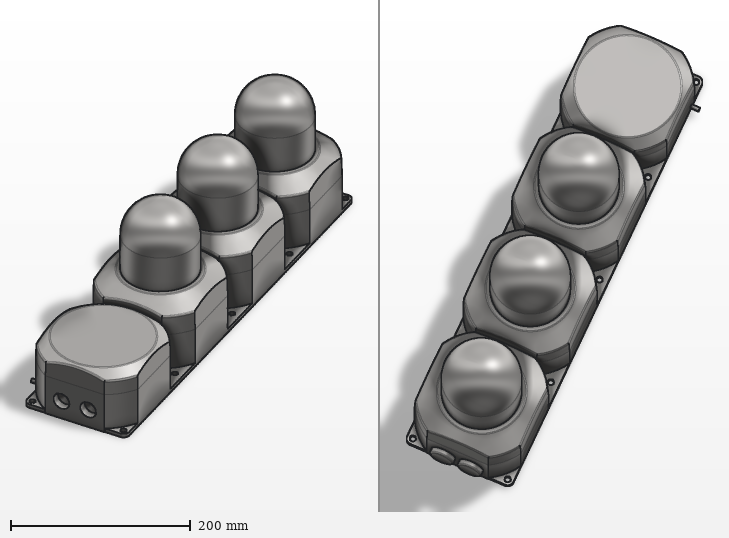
import math

import cadquery as cq

module_pitch = 131.7
lamp_count = 3
body_width = 130.0
body_corner_radius = 75.0
row_length = module_pitch * lamp_count + body_width
horn_y = -module_pitch * lamp_count / 2
front_face_y = -row_length / 2
back_face_y = row_length / 2

plate_thickness = 5.0
plate_setback = 0.5
plate_length = row_length - 2 * plate_setback
plate_corner_radius = 7.0
fixing_hole_diameter = 7.0
corner_hole_inset = plate_corner_radius
side_hole_inset = 10.0

body_height = 51.5
cover_draft = 2.0
cover_edge_fillet = 3.0
cover_rim_fillet = 3.0
lamp_cover_height = 89.0
lamp_cover_flat_radius = 50.0
lamp_cover_corner_height = 74.7
horn_cover_height = 78.5
horn_cover_flat_radius = 60.0
horn_cover_corner_height = 69.0

dome_radius = 45.0
dome_top = 180.0

entry_spacing = 34.0
entry_z = 23.5
entry_hole_diameter = 20.0
entry_hole_depth = 10.0
drill_point_angle = 118.0
overall_length = 531.8
gland_diameter = 29.0
gland_length = overall_length - row_length
gland_fillet = 2.0

stud_diameter = 5.0
stud_length = 10.0
stud_offset_y = -28.0
stud_z = 9.0


def housing_block(base_z, height, draft=0.0):
    """Square block trimmed to a circle, which leaves flats joined by broad corner arcs."""
    base = cq.Workplane("XY", origin=(0, 0, base_z))
    square = base.rect(body_width, body_width).extrude(height, taper=draft)
    disc = base.circle(body_corner_radius).extrude(height, taper=draft)
    return square.intersect(disc)


def make_cover(top_z, flat_radius, corner_z):
    """Drafted cover whose conical top falls from a round flat to the corners."""
    walls = housing_block(body_height, top_z - body_height, cover_draft)
    slope = (top_z - corner_z) / (body_corner_radius - flat_radius)
    cone_foot_radius = flat_radius + (top_z - body_height) / slope
    cone = (
        cq.Workplane("XZ")
        .moveTo(0, body_height)
        .lineTo(cone_foot_radius, body_height)
        .lineTo(flat_radius, top_z)
        .lineTo(0, top_z)
        .close()
        .revolve(360, (0, 0, 0), (0, 1, 0))
    )
    cover = walls.intersect(cone)

    level_tolerance = 0.01
    cone_edges = [
        edge
        for edge in cover.edges("not(<Z or >Z)").vals()
        if abs(edge.startPoint().z - edge.endPoint().z) < level_tolerance
    ]
    cover = cover.newObject(cone_edges).fillet(cover_edge_fillet)
    return cover.faces(">Z").edges().fillet(cover_rim_fillet)


def make_dome():
    """Upright cylinder closed by a hemisphere, rooted inside the cover."""
    shoulder_z = dome_top - dome_radius
    tube = (
        cq.Workplane("XY", origin=(0, 0, body_height))
        .circle(dome_radius)
        .extrude(shoulder_z - body_height)
    )
    cap = cq.Workplane("XY", origin=(0, 0, shoulder_z)).sphere(dome_radius)
    return tube.union(cap)


def make_horn():
    cover = make_cover(horn_cover_height, horn_cover_flat_radius, horn_cover_corner_height)
    return housing_block(0, body_height).union(cover)


def make_lamp():
    cover = make_cover(lamp_cover_height, lamp_cover_flat_radius, lamp_cover_corner_height)
    return housing_block(0, body_height).union(cover).union(make_dome())


def make_plate():
    """Base plate with rounded corners."""
    return (
        cq.Workplane("XY")
        .rect(body_width, plate_length)
        .extrude(plate_thickness)
        .edges("|Z")
        .fillet(plate_corner_radius)
    )


def make_fixing_holes():
    """Through holes at the plate corners and on both sides between the modules."""
    corner_x = body_width / 2 - corner_hole_inset
    corner_y = plate_length / 2 - corner_hole_inset
    side_x = body_width / 2 - side_hole_inset
    points = []
    for side in (-1, 1):
        points.append((side * corner_x, -corner_y))
        points.append((side * corner_x, corner_y))
        for gap in range(lamp_count):
            points.append((side * side_x, horn_y + (gap + 0.5) * module_pitch))
    return cq.Workplane("XY").pushPoints(points).circle(fixing_hole_diameter / 2).extrude(plate_thickness)


def make_entry_hole(x):
    """Blind drilled hole into the front face, with a conical bottom."""
    radius = entry_hole_diameter / 2
    tip_depth = entry_hole_depth + radius / math.tan(math.radians(drill_point_angle / 2))
    return (
        cq.Workplane("XY")
        .polyline([(0, 0), (radius, 0), (radius, entry_hole_depth), (0, tip_depth)])
        .close()
        .revolve(360, (0, 0, 0), (0, 1, 0))
        .translate((x, front_face_y, entry_z))
    )


def make_gland(x):
    """Round gland on the back face, with a rounded outer edge."""
    return (
        cq.Workplane("XZ", origin=(x, back_face_y, entry_z))
        .circle(gland_diameter / 2)
        .extrude(-gland_length)
        .faces(">Y")
        .edges()
        .fillet(gland_fillet)
    )


def make_stud():
    return (
        cq.Workplane("YZ", origin=(-body_width / 2, horn_y + stud_offset_y, stud_z))
        .circle(stud_diameter / 2)
        .extrude(-stud_length)
    )


part = make_plate().cut(make_fixing_holes())
part = part.union(make_horn().translate((0, horn_y, 0)))

lamp = make_lamp()
for position in range(1, lamp_count + 1):
    part = part.union(lamp.translate((0, horn_y + position * module_pitch, 0)))

for side in (-1, 1):
    entry_x = side * entry_spacing / 2
    part = part.cut(make_entry_hole(entry_x))
    part = part.union(make_gland(entry_x))

result = part.union(make_stud())